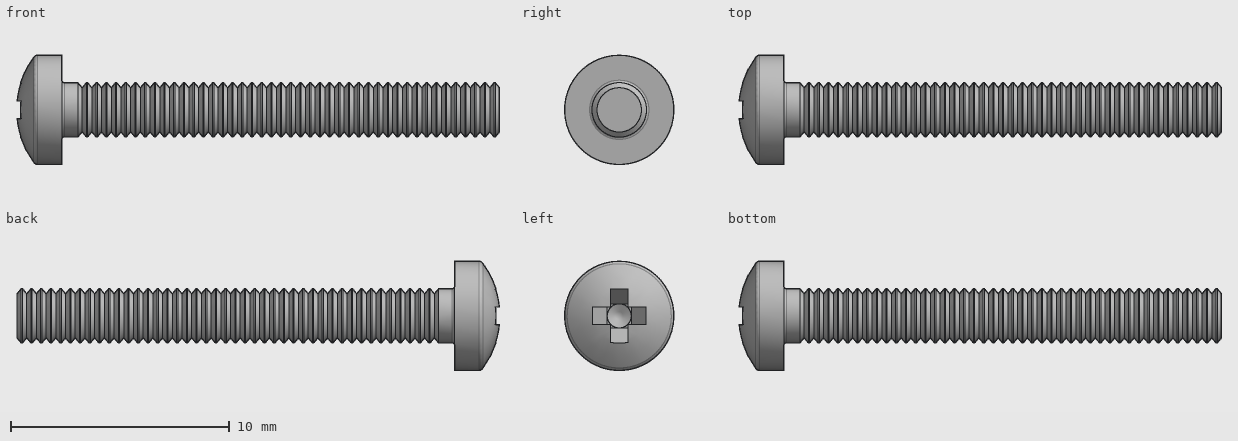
import cadquery as cq
import math

LENGTH = 22.05
HEAD_RADIUS = 5.0 / 2
HEAD_HEIGHT = 2.05
DOME_RADIUS = 4.0
DOME_EDGE_RADIUS = 2.38
RIM_LENGTH = 0.2

SHANK_RADIUS = 2.5 / 2
THREAD_ROOT_RADIUS = 1.01
THREAD_START = 2.98
RIDGE_COUNT = 43
PITCH = (LENGTH - THREAD_START) / RIDGE_COUNT
CREST_WIDTH = PITCH / 8
NECK_FILLET = 0.1

SLOT_WIDTH = 0.8
SLOT_REACH = 1.23
CORE_RADIUS = 0.55
RECESS_DEPTH = 1.32
CORE_TIP_DEPTH = 0.22


def dome_sag(radius):
    """Axial drop of the dome from its apex at a given distance from the axis."""
    return DOME_RADIUS - math.sqrt(DOME_RADIUS**2 - radius**2)


DOME_APEX = -dome_sag(SLOT_WIDTH / math.sqrt(2))


def dome_point(radius):
    return (DOME_APEX + dome_sag(radius), radius)


def revolve_about_x(profile):
    return profile.close().revolve(360, (0, 0, 0), (1, 0, 0))


def make_head():
    edge_x, edge_radius = dome_point(DOME_EDGE_RADIUS)
    slope = math.asin(DOME_EDGE_RADIUS / DOME_RADIUS)
    profile = (
        cq.Workplane("XZ")
        .moveTo(DOME_APEX, 0)
        .threePointArc(dome_point(DOME_EDGE_RADIUS / 2), (edge_x, edge_radius))
        .spline(
            [(edge_x + RIM_LENGTH, HEAD_RADIUS)],
            tangents=[(math.tan(slope), 1), (1, 0)],
            includeCurrent=True,
        )
        .lineTo(HEAD_HEIGHT, HEAD_RADIUS)
        .lineTo(HEAD_HEIGHT, 0)
    )
    return revolve_about_x(profile)


def make_shank():
    """Plain neck followed by evenly spaced ring ridges standing for the thread."""
    profile = (
        cq.Workplane("XZ")
        .moveTo(HEAD_HEIGHT, 0)
        .lineTo(HEAD_HEIGHT, SHANK_RADIUS + NECK_FILLET)
        .radiusArc((HEAD_HEIGHT + NECK_FILLET, SHANK_RADIUS), -NECK_FILLET)
        .lineTo(THREAD_START - (PITCH - CREST_WIDTH) / 2, SHANK_RADIUS)
        .lineTo(THREAD_START, THREAD_ROOT_RADIUS)
    )
    for ridge in range(RIDGE_COUNT):
        root = THREAD_START + ridge * PITCH
        crest = root + (PITCH - CREST_WIDTH) / 2
        profile = (
            profile.lineTo(crest, SHANK_RADIUS)
            .lineTo(crest + CREST_WIDTH, SHANK_RADIUS)
            .lineTo(root + PITCH, THREAD_ROOT_RADIUS)
        )
    return revolve_about_x(profile.lineTo(LENGTH, 0))


def make_slot():
    """Straight slot across the head whose end walls taper in towards the core."""
    slot_mouth = dome_point(SLOT_REACH)[0]
    return (
        cq.Workplane("XZ")
        .moveTo(DOME_APEX, SLOT_REACH)
        .lineTo(slot_mouth, SLOT_REACH)
        .lineTo(RECESS_DEPTH, CORE_RADIUS)
        .lineTo(RECESS_DEPTH, -CORE_RADIUS)
        .lineTo(slot_mouth, -SLOT_REACH)
        .lineTo(DOME_APEX, -SLOT_REACH)
        .close()
        .extrude(SLOT_WIDTH / 2, both=True)
    )


def make_recess():
    core = revolve_about_x(
        cq.Workplane("XZ")
        .moveTo(DOME_APEX, 0)
        .lineTo(DOME_APEX, CORE_RADIUS)
        .lineTo(RECESS_DEPTH, CORE_RADIUS)
        .lineTo(RECESS_DEPTH + CORE_TIP_DEPTH, 0)
    )
    slot = make_slot()
    cross_slot = slot.rotate((0, 0, 0), (1, 0, 0), 90)
    return slot.union(cross_slot).union(core)


result = make_head().union(make_shank()).cut(make_recess())